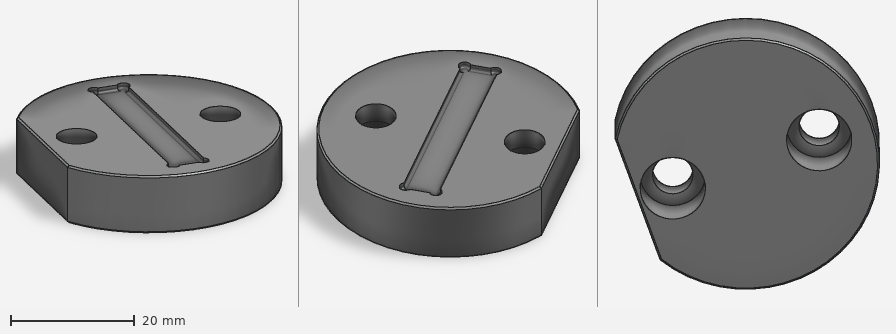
import cadquery as cq

plate_diameter = 43.0
plate_height = 10.0
plate_depth = 40.0
edge_chamfer = 0.3

hole_diameter = 6.5
hole_offset = 12.5
counterbore_diameter = 10.5
counterbore_depth = 6.5

pocket_depth = 1.0
floor_fillet = 0.5
floor_length = 34.0
floor_width = 5.1
relief_diameter = 2.0

plate_radius = plate_diameter / 2
flat_y = plate_radius - plate_depth
pocket_length = floor_length + 2 * floor_fillet
pocket_width = floor_width + 2 * floor_fillet


def make_plate():
    """Disc cut by a flat on the -Y side, chamfered around top and bottom."""
    disc = cq.Workplane("XY").circle(plate_radius).extrude(plate_height)
    keep = (
        cq.Workplane("XY")
        .center(0, flat_y + plate_depth / 2)
        .rect(plate_diameter, plate_depth)
        .extrude(plate_height)
    )
    return disc.intersect(keep).faces("<Z or >Z").edges().chamfer(edge_chamfer)


def make_screw_hole(y):
    """Through hole widened by a counterbore at its lower end."""
    hole = cq.Workplane("XY").center(0, y).circle(hole_diameter / 2).extrude(plate_height)
    counterbore = (
        cq.Workplane("XY").center(0, y).circle(counterbore_diameter / 2).extrude(counterbore_depth)
    )
    return hole.union(counterbore)


def make_pocket():
    """Pocket volume: a rectangle with a round relief at each corner and a rounded floor edge."""
    floor = cq.Workplane("XY").workplane(offset=plate_height - pocket_depth)
    slot = floor.rect(pocket_length, pocket_width).extrude(pocket_depth)
    reliefs = (
        floor.rect(floor_length, floor_width, forConstruction=True)
        .vertices()
        .circle(relief_diameter / 2)
        .extrude(pocket_depth)
    )
    return slot.union(reliefs).faces("<Z").edges().fillet(floor_fillet)


result = make_plate()
for hole_y in (hole_offset, -hole_offset):
    result = result.cut(make_screw_hole(hole_y))
result = result.cut(make_pocket())